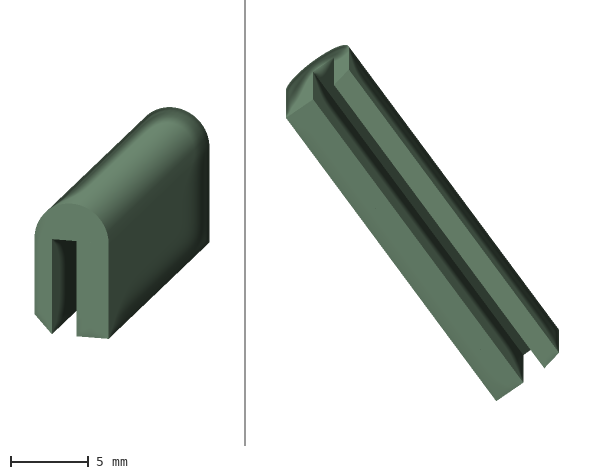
import cadquery as cq

length = 23.25
width = 4.95
height = 8.83

wall = 1.16
lip_bevel_height = 1.25
crown_radius = width / 2
spring_height = height - crown_radius
slot_width = width - 2 * wall

strip_thickness = 0.98


def make_channel():
    """Round-topped channel, open downward, with its -X lip bevelled to an edge."""
    left = -width / 2
    right = width / 2
    profile = (
        cq.Workplane("XZ", origin=(0, length / 2, 0))
        .moveTo(left, lip_bevel_height)
        .lineTo(left, spring_height)
        .threePointArc((0, height), (right, spring_height))
        .lineTo(right, 0)
        .lineTo(right - wall, 0)
        .lineTo(right - wall, spring_height)
        .lineTo(left + wall, spring_height)
        .lineTo(left + wall, 0)
        .close()
    )
    return profile.extrude(length)


def make_strip():
    """Flat strip filling the slot height along the inner face of the +X wall."""
    strip_center_x = slot_width / 2 - strip_thickness / 2
    return cq.Workplane("XY").box(
        strip_thickness, length, spring_height, centered=(True, True, False)
    ).translate((strip_center_x, 0, 0))


channel = make_channel()
strip = make_strip()

result = cq.Compound.makeCompound([channel.val(), strip.val()])